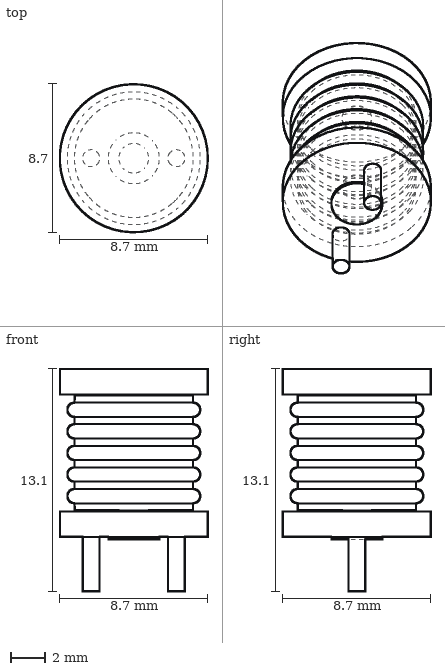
import cadquery as cq

body_diameter = 8.7
body_height = 10.0
flange_thickness = 1.5
standoff_diameter = 3.0
standoff_height = 0.15
sleeve_clearance = 0.05
pin_diameter = 1.0
pin_spacing = 5.0
pin_length_below_standoff = 3.05
turn_count = 5

post_diameter = 0.2 * body_diameter
sleeve_diameter = 0.8 * body_diameter

lower_flange_top = standoff_height + flange_thickness
upper_flange_bottom = body_height - flange_thickness
sleeve_bottom = lower_flange_top + sleeve_clearance
sleeve_top = upper_flange_bottom - sleeve_clearance

strip_ratio = 0.5
strip_count = turn_count + 1
wire_diameter = (sleeve_top - sleeve_bottom) / (turn_count + strip_ratio * strip_count)
turn_pitch = (1 + strip_ratio) * wire_diameter
first_turn_height = sleeve_bottom + strip_ratio * wire_diameter + wire_diameter / 2


def cylinder(diameter, bottom, top, x=0):
    """Vertical cylinder between two heights, centred at (x, 0)."""
    base = cq.Workplane("XY").workplane(offset=bottom).center(x, 0)
    return base.circle(diameter / 2).extrude(top - bottom)


def wire_turn(height):
    """Closed ring of round wire whose centreline lies on the sleeve surface."""
    section = cq.Workplane("XZ").center(-sleeve_diameter / 2, height).circle(wire_diameter / 2)
    axis_x = sleeve_diameter / 2
    return section.revolve(360, (axis_x, 0), (axis_x, 1))


def bobbin():
    """Central post with a flange at each end and a standoff disc underneath."""
    post = cylinder(post_diameter, lower_flange_top, upper_flange_bottom)
    lower_flange = cylinder(body_diameter, standoff_height, lower_flange_top)
    upper_flange = cylinder(body_diameter, upper_flange_bottom, body_height)
    standoff = cylinder(standoff_diameter, 0, standoff_height)
    return post.union(lower_flange).union(upper_flange).union(standoff)


def winding():
    """Sleeve carrying evenly spaced turns of wire."""
    coil = cylinder(sleeve_diameter, sleeve_bottom, sleeve_top)
    for turn in range(turn_count):
        coil = coil.union(wire_turn(first_turn_height + turn * turn_pitch))
    return coil


def pin(x):
    """Round pin hanging from the underside of the lower flange."""
    return cylinder(pin_diameter, -pin_length_below_standoff, standoff_height, x)


result = bobbin().union(winding())
for side in (-1, 1):
    result = result.union(pin(side * pin_spacing / 2))